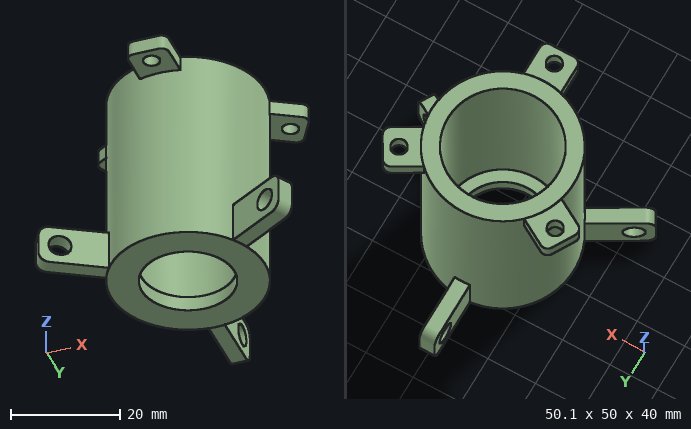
import cadquery as cq

HEIGHT = 40.0
OUTER_DIAMETER = 30.0
BORE_DIAMETER = 23.0
FLOOR_HOLE_DIAMETER = 18.0
FLOOR_THICKNESS = 3.0
OUTER_RADIUS = OUTER_DIAMETER / 2

TAB_REACH = 22.0
TAB_WIDTH = 7.9
TAB_THICKNESS = 3.0
TAB_CORNER_RADIUS = 1.5
TAB_HOLE_DIAMETER = 3.1
TAB_HOLE_DISTANCE = 19.0
TAB_ANGLES = (30, 150, 270)

LEG_REACH = 28.0
LEG_HEIGHT = 8.0
LEG_THICKNESS = 3.2
LEG_CORNER_RADIUS = 2.0
LEG_HOLE_DIAMETER = 4.2
LEG_HOLE_DISTANCE = LEG_REACH - LEG_HEIGHT / 2
LEG_ANGLES = [angle + 60 for angle in TAB_ANGLES]


def make_tube():
    """Round housing with a floor ring that narrows the bore at the base."""
    tube = cq.Workplane("XY").circle(OUTER_RADIUS).extrude(HEIGHT)
    floor_hole = cq.Workplane("XY").circle(FLOOR_HOLE_DIAMETER / 2).extrude(HEIGHT)
    bore = (
        cq.Workplane("XY", origin=(0, 0, FLOOR_THICKNESS))
        .circle(BORE_DIAMETER / 2)
        .extrude(HEIGHT - FLOOR_THICKNESS)
    )
    return tube.cut(floor_hole).cut(bore)


def trim_to_tube(body):
    """Shape the inner end of a body to seat on the tube's outer wall."""
    return body.cut(cq.Workplane("XY").circle(OUTER_RADIUS).extrude(HEIGHT))


def make_tab(angle):
    """Flat tab with a vertical hole, flush with the top of the tube."""
    tab = (
        cq.Workplane("XY")
        .box(TAB_REACH, TAB_WIDTH, TAB_THICKNESS, centered=(False, True, False))
        .edges("|Z and >X")
        .fillet(TAB_CORNER_RADIUS)
    )
    hole = (
        cq.Workplane("XY")
        .center(TAB_HOLE_DISTANCE, 0)
        .circle(TAB_HOLE_DIAMETER / 2)
        .extrude(TAB_THICKNESS)
    )
    tab = trim_to_tube(tab.cut(hole)).translate((0, 0, HEIGHT - TAB_THICKNESS))
    return tab.rotate((0, 0, 0), (0, 0, 1), angle)


def make_leg(angle):
    """Upright plate with a crosswise hole, flush with the base of the tube."""
    leg = (
        cq.Workplane("XY")
        .box(LEG_REACH, LEG_THICKNESS, LEG_HEIGHT, centered=(False, True, False))
        .edges("|Y and >X")
        .fillet(LEG_CORNER_RADIUS)
    )
    hole = (
        cq.Workplane("XZ", origin=(0, LEG_THICKNESS / 2, 0))
        .center(LEG_HOLE_DISTANCE, LEG_HEIGHT / 2)
        .circle(LEG_HOLE_DIAMETER / 2)
        .extrude(LEG_THICKNESS)
    )
    return trim_to_tube(leg.cut(hole)).rotate((0, 0, 0), (0, 0, 1), angle)


tube = make_tube()
tabs = [make_tab(angle) for angle in TAB_ANGLES]
legs = [make_leg(angle) for angle in LEG_ANGLES]

result = cq.Compound.makeCompound([tube.val()] + [body.val() for body in tabs + legs])